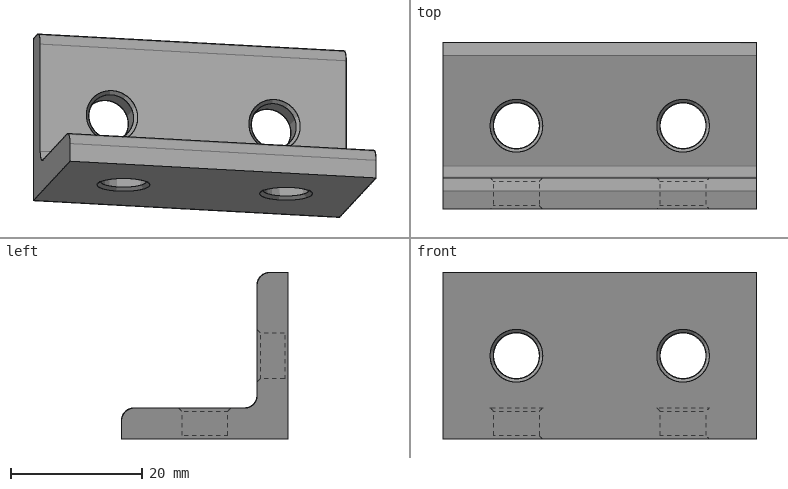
import cadquery as cq

length = 47.75
leg = 25.4
thickness = 4.78
tip_radius = 2.0
root_radius = 1.8

hole_diameter = 6.95
countersink_diameter = 8.0
hole_spacing = 25.35
hole_offset = leg / 2
hole_chamfer = (countersink_diameter - hole_diameter) / 2


def angle_profile():
    """L-shaped bar with rounded leg tips and a rounded inner corner."""
    bar = (
        cq.Workplane("YZ")
        .polyline([
            (0, 0),
            (leg, 0),
            (leg, thickness),
            (thickness, thickness),
            (thickness, leg),
            (0, leg),
        ])
        .close()
        .extrude(length)
    )
    nearest = cq.selectors.NearestToPointSelector
    bar = bar.edges(nearest((length / 2, leg, thickness))).fillet(tip_radius)
    bar = bar.edges(nearest((length / 2, thickness, leg))).fillet(tip_radius)
    return bar.edges(nearest((length / 2, thickness, thickness))).fillet(root_radius)


def hole_cutter(x):
    """Vertical hole through the flat leg, chamfered at both faces."""
    radius = hole_diameter / 2
    mouth = countersink_diameter / 2
    return (
        cq.Workplane("XZ")
        .polyline([
            (0, 0),
            (mouth, 0),
            (radius, hole_chamfer),
            (radius, thickness - hole_chamfer),
            (mouth, thickness),
            (0, thickness),
        ])
        .close()
        .revolve(360, (0, 0, 0), (0, 1, 0))
        .translate((x, hole_offset, 0))
    )


result = angle_profile()
for hole_x in ((length - hole_spacing) / 2, (length + hole_spacing) / 2):
    flat_leg_hole = hole_cutter(hole_x)
    upright_leg_hole = flat_leg_hole.rotate((0, 0, 0), (1, 0, 0), 90).mirror("XZ")
    result = result.cut(flat_leg_hole).cut(upright_leg_hole)